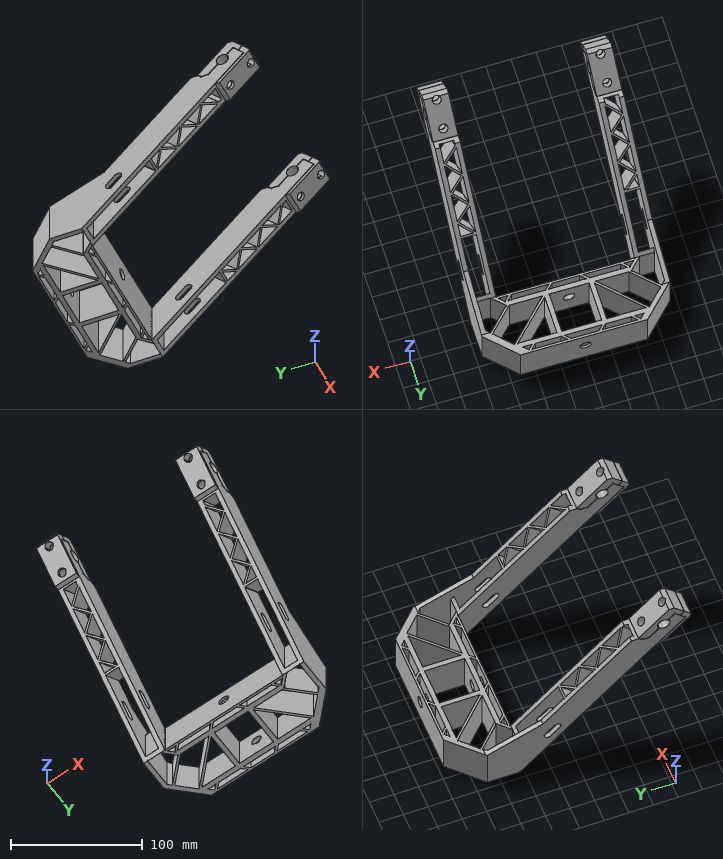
import cadquery as cq
import math

total_width = 150.0
total_length = 191.5
total_height = 150.7
half_width = total_width / 2
root2 = math.sqrt(2)

box_height = 34.8
box_depth = 52.5
corner_chamfer = 25.8
right_corner_chamfer = 23.4
heavy_wall = 4.0
light_wall = 2.0
strip_gap = 4.0
front_corner_wall = 2.5
rear_corner_wall = 5.0
divider_x = 17.8
corner_brace_x = 48.8
corner_brace_rise = 19.7
rear_corner_rib_x = 39.5
front_corner_rib_x = 48.6
middle_rib_x = 16.3
bolt_hole_diameter = 8.8
bolt_hole_height = 20.1

box_front = total_length - box_depth
corner_x = half_width - corner_chamfer
rear_spar_rear = total_length - light_wall - strip_gap
rear_spar_front = rear_spar_rear - heavy_wall
front_spar_front = box_front + light_wall + strip_gap
front_spar_rear = front_spar_front + heavy_wall

arm_width = 20.1
arm_depth = box_height / root2
cavity_rear_wall = 2.7
cavity_end = 154.7
gusset_rear = 166.5
gusset_front = 120.5
slot_along = 47.5
slot_above = 10.1
slot_width = 6.0
slot_length = 16.3

arm_inner_x = half_width - arm_width
cavity_outer_x = half_width - heavy_wall
cavity_inner_x = arm_inner_x + heavy_wall

web_start = 78.1
web_pitch = 12.0
web_legs = 6
web_thickness = 1.7
web_end_plate = 2.0
web_stub = 0.5

pin_along = 177.5
pin_diameter = 10.0
screw_offset = 11.9
screw_diameter = 6.9
tongue_end = 190.0
tongue_top = arm_depth / 2
shoulder_height = 125.4
seat_height = 122.7
seat_start = 156.8
clamp_end = 195.0
clamp_top = 21.0
clamp_bottom = -3.0
clamp_split = 6.1
heel_height = 110.3
fit_gap = 0.4


def at_height(z, above):
    """Arm point at height z and the given distance above the underside."""
    return (z * root2 - above, above)


def height_on(along, z):
    """Arm point at height z and the given distance along."""
    return (along, z * root2 - along)


def at_y(y, above):
    """Arm point at the given y and distance above the underside."""
    return (above + (box_front - y) * root2, above)


def level_at_y(y, z):
    """Arm coordinates of a point given by y and z."""
    ahead = box_front - y
    return ((ahead + z) / root2, (z - ahead) / root2)


def arm_side(x):
    """Side plane in arm coordinates; it extrudes toward -x."""
    return cq.Workplane(cq.Plane(origin=(x, box_front, 0), xDir=(0, -1, 1), normal=(-1, 0, 0)))


def arm_underside():
    """Plane of the arms' underside, drawn in (along, x); it extrudes upward."""
    return cq.Workplane(cq.Plane(origin=(0, box_front, 0), xDir=(0, -1, 1), normal=(0, 1, 1)))


def left_arm_prism(outline):
    """Outline in arm coordinates, over the full width of the left arm."""
    return arm_side(-arm_inner_x).polyline(outline).close().extrude(arm_width)


def join(first, others):
    for other in others:
        first = first.union(other)
    return first


def with_mirror(left):
    return [left, left.mirror("YZ")]


def across_box(width, y_front, y_rear, x_centre=0):
    """Straight box wall between two y values."""
    y_centre = (y_front + y_rear) / 2
    return cq.Workplane().center(x_centre, y_centre).rect(width, y_rear - y_front).extrude(box_height)


def diagonal_wall(x_start, y_start, y_end, lean, thickness):
    """Box wall at 45 degrees; lean is the change of x for each unit of y."""
    half = thickness * root2 / 2
    x_end = x_start + lean * (y_end - y_start)
    outline = [
        (x_start - half, y_start),
        (x_start + half, y_start),
        (x_end + half, y_end),
        (x_end - half, y_end),
    ]
    return cq.Workplane().polyline(outline).close().extrude(box_height)


def plan_prism(side, back, left_corner_sum, right_corner_sum):
    """Plan outline between x = -side and side, back to y = back, with cut rear corners.

    A corner sum is the value of |x| + y along the 45 degree cut.
    """
    outline = [
        (-side, 0),
        (side, 0),
        (side, right_corner_sum - side),
        (right_corner_sum - back, back),
        (back - left_corner_sum, back),
        (-side, left_corner_sum - side),
    ]
    return cq.Workplane().polyline(outline).close().extrude(total_height)


def side_prism():
    """Side outline of the frame, with gussets, shoulders and tongues, over its full width."""
    outline = [
        (0, 0),
        (tongue_end, 0),
        (tongue_end, tongue_top),
        at_height(seat_height, tongue_top),
        height_on(seat_start, seat_height),
        height_on(seat_start, shoulder_height),
        at_height(shoulder_height, arm_depth),
        at_y(gusset_front, arm_depth),
        level_at_y(gusset_rear, box_height),
        level_at_y(total_length, box_height),
        level_at_y(total_length, 0),
    ]
    return arm_side(half_width).polyline(outline).close().extrude(total_width)


def outer_walls():
    left_sum = half_width + total_length - corner_chamfer
    right_sum = half_width + total_length - right_corner_chamfer
    inner_sum = left_sum - heavy_wall * root2
    outer = plan_prism(half_width, total_length, left_sum, right_sum)
    inner = plan_prism(cavity_outer_x, total_length - light_wall, inner_sum, inner_sum)
    return outer.cut(inner)


def box_walls():
    spar_half = total_length + corner_x - rear_spar_rear
    rear_spar = across_box(2 * spar_half, rear_spar_front, rear_spar_rear)
    front_spar = across_box(2 * corner_x, front_spar_front, front_spar_rear)
    front_wall = across_box(2 * arm_inner_x, box_front, box_front + light_wall)
    divider = across_box(heavy_wall, front_spar_front, rear_spar_rear, -divider_x)

    corner_wall_x = corner_x - front_corner_wall * root2 / 2
    brace_end = front_spar_rear + corner_brace_rise
    rear_corner_x = corner_x - rear_corner_wall * root2 / 2
    diagonals = [
        diagonal_wall(-rear_corner_x, total_length, rear_spar_rear, 1, rear_corner_wall),
        diagonal_wall(-corner_wall_x, front_spar_rear, box_front, 1, front_corner_wall),
        diagonal_wall(-corner_brace_x, front_spar_rear, brace_end, -1, light_wall),
        diagonal_wall(-divider_x - light_wall, front_spar_rear, rear_spar_front, -1, light_wall),
        diagonal_wall(-rear_corner_rib_x, rear_spar_rear, total_length, -1, light_wall),
        diagonal_wall(-middle_rib_x, rear_spar_rear, total_length, 1, light_wall),
        diagonal_wall(-front_corner_rib_x, front_spar_front, box_front, -1, light_wall),
        diagonal_wall(-middle_rib_x, front_spar_front, box_front, -1, light_wall),
    ]
    walls = join(rear_spar, [front_spar, front_wall])
    for wall in [divider, *diagonals]:
        walls = join(walls, with_mirror(wall))
    return walls


def left_web():
    """End plate, zigzag and closing stub that stiffen the open arm."""
    cavity_width = cavity_outer_x - cavity_inner_x
    cavity_centre = -(cavity_outer_x + cavity_inner_x) / 2
    web = arm_underside().center(web_start, cavity_centre).rect(web_end_plate, cavity_width)
    web = web.extrude(arm_depth)
    half = web_thickness / 2 * math.hypot(web_pitch, cavity_width) / cavity_width
    sides = [-cavity_inner_x, -cavity_outer_x]
    for leg in range(web_legs):
        start = web_start + leg * web_pitch
        end = start + web_pitch
        x_start = sides[leg % 2]
        x_end = sides[(leg + 1) % 2]
        outline = [
            (start - half, x_start),
            (start + half, x_start),
            (end + half, x_end),
            (end - half, x_end),
        ]
        web = web.union(arm_underside().polyline(outline).close().extrude(arm_depth))
    stub_start = web_start + web_legs * web_pitch
    stub = [
        (stub_start, -cavity_inner_x),
        (cavity_end, -cavity_inner_x),
        (cavity_end, -cavity_inner_x - web_stub),
        (stub_start, -cavity_inner_x - web_stub),
    ]
    return web.union(arm_underside().polyline(stub).close().extrude(arm_depth))


def left_arm():
    cavity_rear = box_front - cavity_rear_wall
    body = [
        (0, 0),
        (tongue_end, 0),
        (tongue_end, arm_depth),
        at_y(box_front, arm_depth),
    ]
    cavity = [
        at_y(cavity_rear, -arm_depth),
        (cavity_end, -arm_depth),
        (cavity_end, 2 * arm_depth),
        at_y(cavity_rear, 2 * arm_depth),
    ]
    cavity_width = cavity_outer_x - cavity_inner_x
    hollow = arm_side(-cavity_inner_x).polyline(cavity).close().extrude(cavity_width)
    return left_arm_prism(body).cut(hollow).union(left_web())


def lightening_slots():
    slot = arm_side(half_width).center(slot_along, slot_above).slot2D(slot_length, slot_width)
    return slot.extrude(total_width)


def bolt_hole():
    hole = cq.Workplane("XZ").center(0, bolt_hole_height).circle(bolt_hole_diameter / 2)
    return hole.extrude(-total_length)


def clamp_holes():
    """Pin bore across both arms and the screw holes through the clamps."""
    pin_bore = arm_side(half_width).center(pin_along, tongue_top).circle(pin_diameter / 2)
    holes = pin_bore.extrude(total_width)
    arm_centre = half_width - arm_width / 2
    places = [
        (pin_along + step, x)
        for step in (-screw_offset, screw_offset)
        for x in (-arm_centre, arm_centre)
    ]
    screws = arm_underside().pushPoints(places).circle(screw_diameter / 2)
    return holes.union(screws.extrude(2 * arm_depth, both=True))


def make_frame():
    frame = join(outer_walls(), [box_walls(), *with_mirror(left_arm())])
    frame = frame.intersect(side_prism())
    return frame.cut(lightening_slots()).cut(bolt_hole()).cut(clamp_holes())


def make_upper_jaw():
    """Left jaw that lies on the tongue and hooks over its end."""
    rear = seat_start + fit_gap
    hook = tongue_end + fit_gap
    seat = seat_height + fit_gap
    underside = tongue_top + fit_gap
    split = clamp_split + fit_gap
    outline = [
        height_on(rear, seat),
        at_height(seat, underside),
        (hook, underside),
        (hook, split),
        (clamp_end, split),
        height_on(clamp_end, total_height),
        at_height(total_height, clamp_top),
        (rear, clamp_top),
    ]
    return left_arm_prism(outline).cut(clamp_holes())


def make_lower_jaw():
    """Left jaw that lies under the tongue and closes its end."""
    tip_above = clamp_end - box_front * root2
    outline = [
        at_height(heel_height, -fit_gap),
        at_height(heel_height, clamp_bottom),
        at_y(0, clamp_bottom),
        (clamp_end, tip_above),
        (clamp_end, clamp_split),
        (tongue_end, clamp_split),
        (tongue_end, -fit_gap),
    ]
    return left_arm_prism(outline).cut(clamp_holes())


frame = make_frame()
upper_jaws = with_mirror(make_upper_jaw())
lower_jaws = with_mirror(make_lower_jaw())

result = cq.Compound.makeCompound([
    frame.val(),
    *[jaw.val() for jaw in upper_jaws],
    *[jaw.val() for jaw in lower_jaws],
])